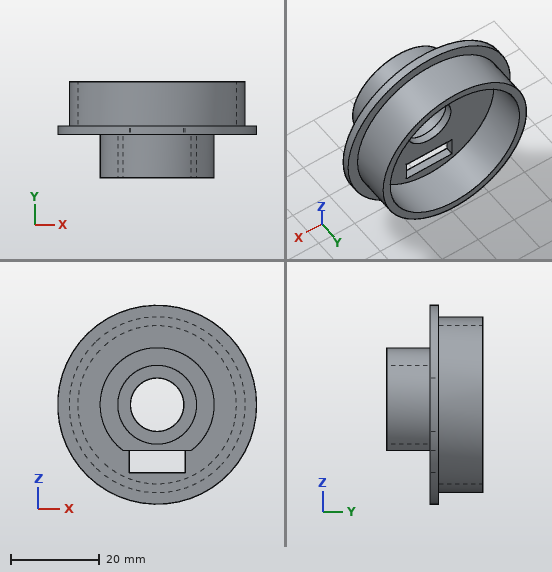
import cadquery as cq

flange_diameter = 45.0
flange_thickness = 2.0

drum_diameter = 39.8
drum_length = 10.0
drum_wall = 2.0

boss_diameter = 25.8
boss_length = 9.8
flat_drop = 10.35

bore_diameter = 17.8
bore_depth = boss_length
through_diameter = 12.0

slot_width = 12.6
slot_height = 5.0

through_length = boss_length + flange_thickness


def cylinder(diameter, start_y, length):
    """Cylinder on the Y axis, running from start_y toward +Y."""
    plane = cq.Workplane("XZ", origin=(0, start_y, 0))
    return plane.circle(diameter / 2).extrude(-length)


def block_below(top_z, width, height, start_y, length):
    """Box centred on X, hanging down from top_z and running toward +Y."""
    box = cq.Workplane("XY").box(width, length, height, centered=(True, False, False))
    return box.translate((0, start_y, top_z - height))


boss = cylinder(boss_diameter, -boss_length, boss_length)
boss = boss.cut(block_below(-flat_drop, boss_diameter, boss_diameter, -boss_length, boss_length))

flange = cylinder(flange_diameter, 0, flange_thickness)
drum = cylinder(drum_diameter, flange_thickness, drum_length)
drum = drum.cut(cylinder(drum_diameter - 2 * drum_wall, flange_thickness, drum_length))
body = flange.union(drum).union(boss)

body = body.cut(cylinder(through_diameter, -boss_length, through_length))
body = body.cut(cylinder(bore_diameter, -boss_length, bore_depth))

result = body.cut(block_below(-flat_drop, slot_width, slot_height, 0, flange_thickness))